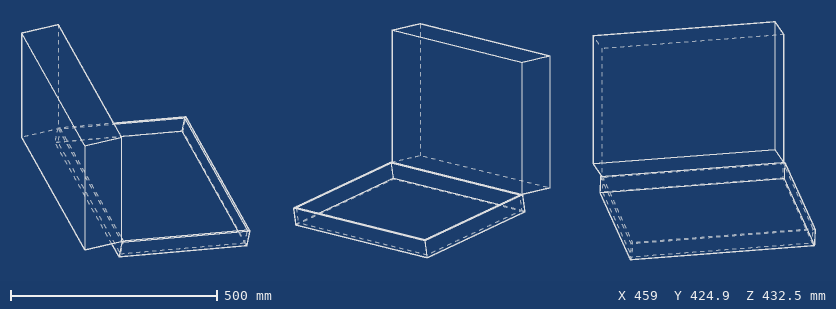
import cadquery as cq


base_width = 453.0
base_depth = 95.0
base_height = 330.0

lid_width = 459.0
lid_length = 335.0
lid_depth = 45.0
wall_thickness = 5.0
floor_thickness = wall_thickness
lid_tilt = 10.0

half_width = lid_width / 2
outer_corners = [(-half_width, 0), (half_width, 0), (half_width, lid_length), (-half_width, lid_length)]
inner_half_width = half_width - wall_thickness
inner_near = wall_thickness
inner_far = lid_length - wall_thickness
inner_corners = [
    (-inner_half_width, inner_near),
    (inner_half_width, inner_near),
    (inner_half_width, inner_far),
    (-inner_half_width, inner_far),
]


def make_base():
    """Upright box whose lower +Y edge lies on the hinge line."""
    box = cq.Workplane("XY").box(base_width, base_depth, base_height, centered=(True, False, False))
    return box.translate((0, -base_depth, 0))


def swing(body):
    """Turn a body of the level lid down about the hinge line."""
    return body.rotate((0, 0, 0), (1, 0, 0), -lid_tilt)


def make_level_floor():
    """Floor plate with all four edges bevelled to meet the walls in a mitre."""
    return (
        cq.Workplane("XY", origin=(0, 0, -lid_depth))
        .polyline(outer_corners)
        .close()
        .workplane(offset=floor_thickness)
        .polyline(inner_corners)
        .close()
        .loft(ruled=True)
    )


def make_level_wall(side, floor):
    """Wall along one side, mitred to the neighbouring walls and to the floor."""
    following = (side + 1) % len(outer_corners)
    plan = [outer_corners[side], outer_corners[following], inner_corners[following], inner_corners[side]]
    return cq.Workplane("XY").polyline(plan).close().extrude(-lid_depth).cut(floor)


base = make_base()
level_floor = make_level_floor()
lid_floor = swing(level_floor)
lid_walls = [swing(make_level_wall(side, level_floor)) for side in range(len(outer_corners))]

result = cq.Compound.makeCompound([base.val(), lid_floor.val(), *[wall.val() for wall in lid_walls]])